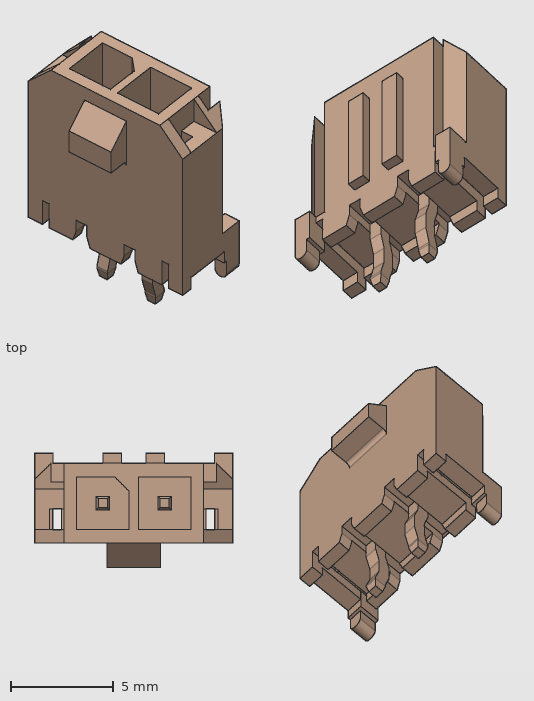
import cadquery as cq


overall_height = 13.08

body_width = 9.65
body_depth = 3.88
body_height = 9.9
shoulder_width = 1.43
shoulder_height = 1.4
back_corner_depth = 0.78

pitch = 3.01
cavity_size = 2.56
cavity_floor_z = 2.0
key_chamfer = 0.7

pocket_back_y = 0.69
well_width = 0.7
well_back_y = -0.27
groove_width = 0.61
groove_front_y = 1.03

recess_height = 0.7
end_slot_width = 0.42
end_slot_height = 1.49
end_slot_x = 3.73
notch_height = 1.32
notch_flare_width = 1.07
notch_flare_height = 0.64

latch_width = 2.62
latch_reach = 1.19
latch_top_z = 9.1
latch_bottom_z = 6.6
latch_fillet = 0.25

back_reach = 0.5
rail_width = 0.92
rail_spacing = 2.09
rail_bottom_z = 2.2
rail_top_z = 8.21
foot_width = 0.9
foot_top_z = 1.92
peg_width = 0.7
peg_depth = 1.01
peg_length = 1.11

pin_size = 0.67
pin_end_size = 0.47
pin_taper = 0.5
pin_top_z = 5.89
pin_top_end_size = 0.45
pin_top_taper = 0.26
pin_bottom_z = body_height - overall_height
kink_offset = 0.25
kink_start_z = 0.21
kink_full_z = -0.65
kink_return_z = -1.67
kink_end_z = -2.55

half_width = body_width / 2
back_corner_width = shoulder_width - groove_width
front_y = -body_depth / 2
back_y = body_depth / 2
rail_back_y = back_y + back_reach
half_cavity = cavity_size / 2
shoulder_x = half_width - shoulder_width
shoulder_z = body_height - shoulder_height
contact_xs = (-pitch / 2, pitch / 2)
SIDES = (-1, 1)


def block(x_range, y_range, z_range):
    """Box spanning the given ranges; the ends of a range may be in either order."""
    spans = [sorted(limits) for limits in (x_range, y_range, z_range)]
    size = [high - low for low, high in spans]
    corner = [low for low, high in spans]
    return cq.Workplane("XY").box(*size, centered=False).translate(tuple(corner))


def extrude_along_y(outline, y_start, y_end):
    """Extrude an (x, z) outline from y_start to y_end."""
    plane = cq.Workplane("XZ", origin=(0, y_start, 0))
    return plane.polyline(outline).close().extrude(y_start - y_end)


def extrude_along_x(outline, x_center, width):
    """Extrude a (y, z) outline to the given width, centred on x_center."""
    plane = cq.Workplane("YZ", origin=(x_center, 0, 0))
    return plane.polyline(outline).close().extrude(width / 2, both=True)


def make_housing():
    """Block with sloped top shoulders and bevelled back corners above the feet."""
    outline = [
        (-half_width, 0),
        (half_width, 0),
        (half_width, shoulder_z),
        (shoulder_x, body_height),
        (-shoulder_x, body_height),
        (-half_width, shoulder_z),
    ]
    housing = extrude_along_y(outline, front_y, back_y)
    for side in SIDES:
        corner = [
            (side * half_width, back_y),
            (side * (half_width - back_corner_width), back_y),
            (side * half_width, back_y - back_corner_depth),
        ]
        foot_top = cq.Workplane("XY", origin=(0, 0, foot_top_z))
        bevel = foot_top.polyline(corner).close().extrude(body_height - foot_top_z)
        housing = housing.cut(bevel)
    return housing


def cut_ends(housing):
    """Open a pocket and a deep well in each shoulder, and a back groove running down to the foot."""
    for side in SIDES:
        shoulder_span = (side * shoulder_x, side * half_width)
        well_span = (side * shoulder_x, side * (shoulder_x + well_width))
        groove_span = (side * shoulder_x, side * (shoulder_x + groove_width))
        pocket = block(shoulder_span, (-half_cavity, pocket_back_y), (shoulder_z, body_height))
        well = block(well_span, (-half_cavity, well_back_y), (end_slot_height, body_height))
        groove = block(groove_span, (groove_front_y, back_y), (foot_top_z, body_height))
        housing = housing.cut(pocket).cut(well).cut(groove)
    return housing


def cut_cavities(housing):
    """Sink the square contact cavities; the left one has a keyed corner."""
    for x in contact_xs:
        cavity = block(
            (x - half_cavity, x + half_cavity),
            (-half_cavity, half_cavity),
            (cavity_floor_z, body_height),
        )
        if x < 0:
            cavity = cavity.edges("|Z and >X and >Y").chamfer(key_chamfer)
        housing = housing.cut(cavity)
    return housing


def cut_underside(housing):
    """Cut the cross recess, the end slots and the flared pin notches."""
    housing = housing.cut(block((-half_width, half_width), (-half_cavity, half_cavity), (0, recess_height)))
    for side in SIDES:
        slot_span = (side * end_slot_x - end_slot_width / 2, side * end_slot_x + end_slot_width / 2)
        housing = housing.cut(block(slot_span, (front_y, back_y), (0, end_slot_height)))
    for x in contact_xs:
        notch = [
            (x - notch_flare_width / 2, 0),
            (x + notch_flare_width / 2, 0),
            (x + pin_size / 2, notch_flare_height),
            (x + pin_size / 2, notch_height),
            (x - pin_size / 2, notch_height),
            (x - pin_size / 2, notch_flare_height),
        ]
        housing = housing.cut(extrude_along_y(notch, front_y, back_y))
    return housing


def make_latch():
    """Ramped latch with a concave fillet where its underside meets the front face."""
    latch_y = front_y - latch_reach
    return (
        cq.Workplane("YZ")
        .moveTo(front_y, latch_top_z)
        .lineTo(latch_y, latch_top_z - latch_reach)
        .lineTo(latch_y, latch_bottom_z)
        .lineTo(front_y - latch_fillet, latch_bottom_z)
        .radiusArc((front_y, latch_bottom_z - latch_fillet), latch_fillet)
        .close()
        .extrude(latch_width / 2, both=True)
    )


def make_rail(x):
    """Upright stand-off rail on the back face."""
    x_range = (x - rail_width / 2, x + rail_width / 2)
    return block(x_range, (back_y, rail_back_y), (rail_bottom_z, rail_top_z))


def make_foot(side):
    """Back foot with a round-ended locating peg below it."""
    outer_x = side * half_width
    foot = block((outer_x, outer_x - side * foot_width), (half_cavity, rail_back_y), (0, foot_top_z))
    peg_radius = peg_width / 2
    peg_x = outer_x - side * peg_radius
    peg = (
        cq.Workplane("XZ", origin=(peg_x, rail_back_y, 0))
        .moveTo(-peg_radius, 0)
        .lineTo(-peg_radius, peg_radius - peg_length)
        .threePointArc((0, -peg_length), (peg_radius, peg_radius - peg_length))
        .lineTo(peg_radius, 0)
        .close()
        .extrude(peg_depth)
    )
    return foot.union(peg)


def make_taper(x, z, end_z, end_size):
    """Square pin end narrowing from the full pin size at z to end_size at end_z."""
    height = abs(end_z - z)
    taper = (
        cq.Workplane("XY")
        .rect(pin_size, pin_size)
        .workplane(offset=height)
        .rect(end_size, end_size)
        .loft()
    )
    if end_z < z:
        taper = taper.rotate((0, 0, 0), (1, 0, 0), 180)
    return taper.translate((x, 0, z))


def make_pin(x, kink_side):
    """Square contact pin whose tail kinks sideways to grip in its hole."""
    top_z = pin_top_z - pin_top_taper
    bottom_z = pin_bottom_z + pin_taper
    offset = kink_side * kink_offset
    center_line = [
        (0, top_z),
        (0, kink_start_z),
        (offset, kink_full_z),
        (offset, kink_return_z),
        (0, kink_end_z),
        (0, bottom_z),
    ]
    half_pin = pin_size / 2
    front_edge = [(y - half_pin, z) for y, z in center_line]
    back_edge = [(y + half_pin, z) for y, z in reversed(center_line)]
    shank = extrude_along_x(front_edge + back_edge, x, pin_size)
    upper_end = make_taper(x, top_z, pin_top_z, pin_top_end_size)
    lower_end = make_taper(x, bottom_z, pin_bottom_z, pin_end_size)
    return shank.union(upper_end).union(lower_end)


part = cut_underside(cut_cavities(cut_ends(make_housing())))
part = part.union(make_latch())
for side in SIDES:
    part = part.union(make_rail(side * rail_spacing / 2))
    part = part.union(make_foot(side))
    part = part.union(make_pin(side * pitch / 2, -side))

result = part